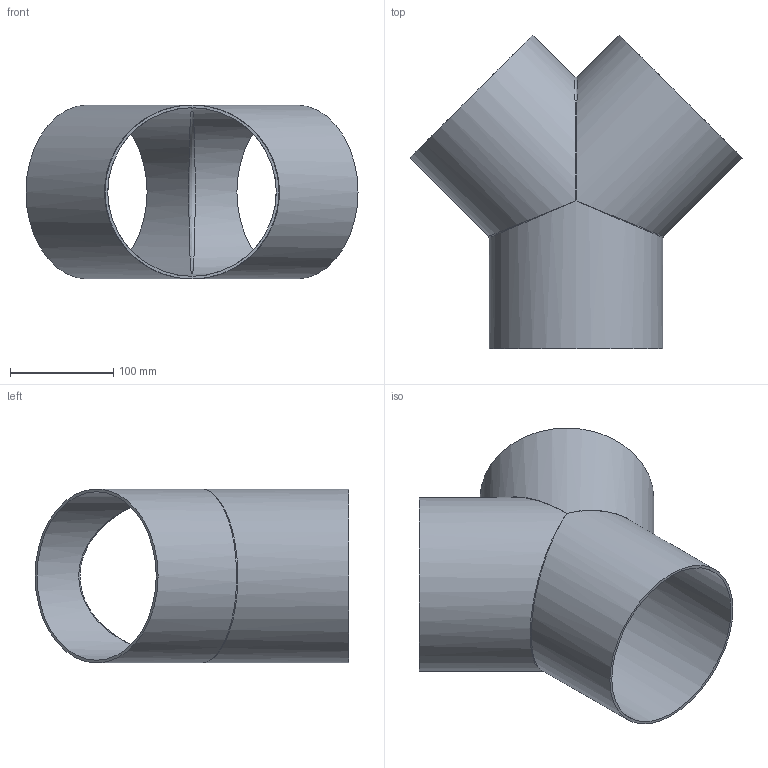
import cadquery as cq

outer_diameter = 168.3
inner_diameter = 163.1
leg_length = 143.0
branch_angle = 45.0
outer_seam_radius = 1.7

wall_thickness = (outer_diameter - inner_diameter) / 2
inner_seam_radius = outer_seam_radius + wall_thickness

leg_angles = (180.0, branch_angle, -branch_angle)

origin = (0, 0, 0)
y_axis = (0, 1, 0)
z_axis = (0, 0, 1)


def leg_cylinder(diameter, angle):
    """Cylinder from the common centre along +Y, turned about Z by the angle."""
    along_y = cq.Workplane("XZ").circle(diameter / 2).extrude(-leg_length)
    seam_at_pole = along_y.rotate(origin, y_axis, 90)
    return seam_at_pole.rotate(origin, z_axis, angle)


def rounded_wye(diameter, seam_radius):
    """Solid wye of three equal cylinders with its elliptical seams rounded."""
    wye = leg_cylinder(diameter, leg_angles[0])
    for angle in leg_angles[1:]:
        wye = wye.union(leg_cylinder(diameter, angle))
    seams = [edge for edge in wye.edges().vals() if edge.geomType() == "ELLIPSE"]
    return wye.newObject(seams).fillet(seam_radius)


outer_wye = rounded_wye(outer_diameter, outer_seam_radius)
bore_wye = rounded_wye(inner_diameter, inner_seam_radius)
result = outer_wye.cut(bore_wye)